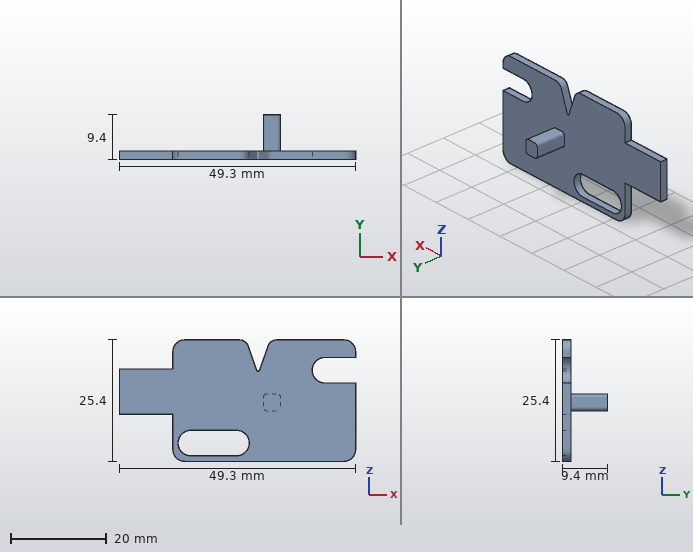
import cadquery as cq

overall_length = 49.3
plate_height = 25.4
plate_thickness = 1.8
corner_radius = 2.5

tab_length = 11.15
tab_bottom = 9.8
tab_height = 9.5

slot_width = 5.25
closed_slot_length = 14.8
closed_slot_x = 19.65
closed_slot_z = 3.85
open_slot_end_x = 40.2
open_slot_z = 19.0

notch_x = 28.95
notch_half_width = 2.5
notch_depth = 7.15
notch_tip_radius = 0.3
notch_mouth_radius = 2.0

post_side = 3.6
post_corner_radius = 0.8
post_x = 31.85
post_z = 12.3
overall_depth = 9.4
post_length = overall_depth - plate_thickness


def plane_at(y):
    """Workplane parallel to the plate at depth y; negative extrusions run toward +Y."""
    return cq.Workplane("XZ", origin=(0, y, 0))


def round_edges(solid, points, radius):
    """Fillet the thickness-direction edge at each (x, z) point."""
    for x, z in points:
        middle = (x, plate_thickness / 2, z)
        solid = solid.edges(cq.selectors.NearestToPointSelector(middle)).fillet(radius)
    return solid


def make_body():
    """Rounded plate with the V notch cut into its top edge."""
    body = (
        plane_at(0)
        .moveTo(tab_length, 0)
        .lineTo(overall_length, 0)
        .lineTo(overall_length, plate_height)
        .lineTo(notch_x + notch_half_width, plate_height)
        .lineTo(notch_x, plate_height - notch_depth)
        .lineTo(notch_x - notch_half_width, plate_height)
        .lineTo(tab_length, plate_height)
        .close()
        .extrude(-plate_thickness)
    )

    corners = [(x, z) for x in (tab_length, overall_length) for z in (0, plate_height)]
    mouth = [(notch_x + side * notch_half_width, plate_height) for side in (-1, 1)]
    tip = [(notch_x, plate_height - notch_depth)]
    body = round_edges(body, corners, corner_radius)
    body = round_edges(body, mouth, notch_mouth_radius)
    return round_edges(body, tip, notch_tip_radius)


def make_tab():
    """Rectangular tab, flush with both plate faces."""
    return (
        cq.Workplane("XY", origin=(0, 0, tab_bottom))
        .box(tab_length, plate_thickness, tab_height, centered=False)
    )


def make_slot(center_x, center_z, length):
    """Round-ended slot through the plate."""
    return (
        plane_at(0)
        .center(center_x, center_z)
        .slot2D(length, slot_width)
        .extrude(-plate_thickness)
    )


def make_post():
    """Square post with rounded corners, standing on the back face."""
    return (
        plane_at(plate_thickness)
        .center(post_x, post_z)
        .rect(post_side, post_side)
        .extrude(-post_length)
        .edges("|Y")
        .fillet(post_corner_radius)
    )


closed_slot = make_slot(closed_slot_x, closed_slot_z, closed_slot_length)

open_slot_length = 2 * (overall_length - open_slot_end_x)
open_slot = make_slot(overall_length, open_slot_z, open_slot_length)

result = make_body().union(make_tab()).cut(closed_slot).cut(open_slot).union(make_post())